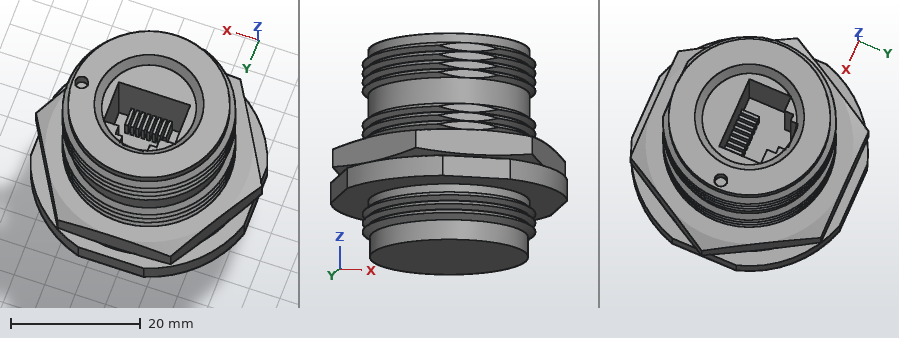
import cadquery as cq
import math

TOTAL_HEIGHT = 32.6
SHAFT_RADIUS = 12.5
COLLAR_RADIUS = 12.22
COLLAR_HEIGHT = 3.1

CREST_RADIUS = 13.37
RIDGE_HALF_HEIGHT = 0.65
THREAD_PITCH = 1.4
LOWER_RIDGE_COUNT = 3
UPPER_RIDGE_COUNT = 4
TOP_THREAD_CREST = 26.25
RIDGE_OVERLAP = 0.37
RIDGE_SLOPE = RIDGE_HALF_HEIGHT / (CREST_RADIUS - SHAFT_RADIUS)
RIDGE_BASE_HALF_HEIGHT = RIDGE_SLOPE * (CREST_RADIUS - COLLAR_RADIUS)
LOWER_THREAD_CREST = COLLAR_HEIGHT + RIDGE_BASE_HALF_HEIGHT

FLANGE_ACROSS_FLATS = 35.0
FLANGE_FLAT_LENGTH = 10.75
FLANGE_BOTTOM = 8.75
FLANGE_THICKNESS = 3.2
FLANGE_TOP = FLANGE_BOTTOM + FLANGE_THICKNESS
FLANGE_RADIUS = math.hypot(FLANGE_ACROSS_FLATS / 2, FLANGE_FLAT_LENGTH / 2)
SEAT_RADIUS = 15.95
SEAT_HEIGHT = 0.55
SEAT_TOP = FLANGE_TOP + SEAT_HEIGHT

MOUTH_RADIUS = 8.45
FACE_RADIUS = 7.3
MOUTH_DEPTH = 1.3
FACE_Z = TOTAL_HEIGHT - MOUTH_DEPTH

SOCKET_HALF_WIDTH = 5.85
SOCKET_BOTTOM_Y = -2.55
SOCKET_SHOULDER_Y = 4.45
STEP_HALF_WIDTH = 3.37
STEP_Y = 5.93
LATCH_HALF_WIDTH = 2.25
SOCKET_DEPTH = 11.1
SOCKET_FLOOR = FACE_Z - SOCKET_DEPTH

CONTACT_COUNT = 8
CONTACT_PITCH = 0.9
CONTACT_ROW_X = CONTACT_PITCH / 2
CONTACT_WIDTH = 0.52
CONTACT_LENGTH = 2.93
CONTACT_HEIGHT = 2.95

MARKER_RADIUS = 1.0
MARKER_X = 11.05
MARKER_DEPTH = 2 * MARKER_RADIUS

NUT_ACROSS_CORNERS = 37.05
NUT_CORNER_RADIUS = NUT_ACROSS_CORNERS / 2
NUT_HALF_FLATS = NUT_CORNER_RADIUS * math.cos(math.pi / 6)
NUT_THICKNESS = 3.95
NUT_GAP = 0.2
NUT_BORE_RADIUS = 12.85
NUT_CHAMFER_HEIGHT = 0.6
NUT_BOTTOM = SEAT_TOP + NUT_GAP
NUT_TOP = NUT_BOTTOM + NUT_THICKNESS

MIDDLE_THREAD_CREST = NUT_TOP


def disc(radius, bottom, top):
    return cq.Workplane("XY").workplane(offset=bottom).circle(radius).extrude(top - bottom)


def turned(profile):
    """Revolve a closed (radius, height) outline around Z."""
    return cq.Workplane("XZ").polyline(profile).close().revolve(360, (0, 0), (0, 1))


def ridge(crest):
    """A ring of triangular section that reaches inward to the collar radius."""
    return turned([
        (COLLAR_RADIUS - RIDGE_OVERLAP, crest - RIDGE_BASE_HALF_HEIGHT),
        (COLLAR_RADIUS, crest - RIDGE_BASE_HALF_HEIGHT),
        (CREST_RADIUS, crest),
        (COLLAR_RADIUS, crest + RIDGE_BASE_HALF_HEIGHT),
        (COLLAR_RADIUS - RIDGE_OVERLAP, crest + RIDGE_BASE_HALF_HEIGHT),
    ])


def add_thread(body, lowest_crest, count):
    for index in range(count):
        body = body.union(ridge(lowest_crest + index * THREAD_PITCH))
    return body


def make_flange():
    square = cq.Workplane("XY").workplane(offset=FLANGE_BOTTOM).rect(FLANGE_ACROSS_FLATS, FLANGE_ACROSS_FLATS)
    plate = disc(FLANGE_RADIUS, FLANGE_BOTTOM, FLANGE_TOP).intersect(square.extrude(FLANGE_THICKNESS))
    seat = disc(SEAT_RADIUS, FLANGE_BOTTOM, SEAT_TOP).faces(">Z").edges().fillet(SEAT_HEIGHT)
    return plate.union(seat)


def make_threaded_shaft():
    """Upper shaft with two threads, flattened on the -Y side down to the shaft."""
    shaft = disc(SHAFT_RADIUS, FLANGE_TOP, TOTAL_HEIGHT)
    shaft = add_thread(shaft, MIDDLE_THREAD_CREST, UPPER_RIDGE_COUNT)
    shaft = add_thread(shaft, TOP_THREAD_CREST, UPPER_RIDGE_COUNT)
    kept = cq.Workplane("XY").box(
        2 * CREST_RADIUS, SHAFT_RADIUS + CREST_RADIUS, TOTAL_HEIGHT, centered=(True, False, False)
    )
    return shaft.intersect(kept.translate((0, -SHAFT_RADIUS, 0)))


def make_tail():
    """Lower end: plain collar, thread and the shaft up to the flange."""
    tail = disc(COLLAR_RADIUS, 0, FLANGE_BOTTOM)
    tail = tail.union(disc(SHAFT_RADIUS, LOWER_THREAD_CREST, FLANGE_BOTTOM))
    return add_thread(tail, LOWER_THREAD_CREST, LOWER_RIDGE_COUNT)


def make_mouth():
    return turned([(0, FACE_Z), (FACE_RADIUS, FACE_Z), (MOUTH_RADIUS, TOTAL_HEIGHT), (0, TOTAL_HEIGHT)])


def make_socket():
    """Plug-shaped pocket, with the contacts left standing in it."""
    right_side = [
        (SOCKET_HALF_WIDTH, SOCKET_BOTTOM_Y),
        (SOCKET_HALF_WIDTH, SOCKET_SHOULDER_Y),
        (STEP_HALF_WIDTH, SOCKET_SHOULDER_Y),
        (STEP_HALF_WIDTH, STEP_Y),
        (LATCH_HALF_WIDTH, STEP_Y),
        (LATCH_HALF_WIDTH, FACE_RADIUS),
    ]
    left_side = [(-x, y) for x, y in reversed(right_side)]
    floor_plane = cq.Workplane("XY").workplane(offset=SOCKET_FLOOR)
    pocket = floor_plane.polyline(right_side + left_side).close().extrude(SOCKET_DEPTH)
    contacts = (
        floor_plane.center(CONTACT_ROW_X, SOCKET_BOTTOM_Y + CONTACT_LENGTH / 2)
        .rarray(CONTACT_PITCH, 0.37, CONTACT_COUNT, 1)
        .rect(CONTACT_WIDTH, CONTACT_LENGTH)
        .extrude(CONTACT_HEIGHT)
    )
    return pocket.cut(contacts)


def make_housing():
    body = make_tail().union(make_flange()).union(make_threaded_shaft())
    marker_hole = disc(MARKER_RADIUS, TOTAL_HEIGHT - MARKER_DEPTH, TOTAL_HEIGHT).translate((MARKER_X, 0, 0))
    return body.cut(make_mouth()).cut(make_socket()).cut(marker_hole)


def make_nut(housing):
    """Hexagonal nut with corners along X, cleared where the housing thread enters it."""
    hexagon = cq.Workplane("XY").workplane(offset=NUT_BOTTOM).polygon(6, NUT_ACROSS_CORNERS)
    corner_cones = turned([
        (0, NUT_BOTTOM),
        (NUT_HALF_FLATS, NUT_BOTTOM),
        (NUT_CORNER_RADIUS, NUT_BOTTOM + NUT_CHAMFER_HEIGHT),
        (NUT_CORNER_RADIUS, NUT_TOP - NUT_CHAMFER_HEIGHT),
        (NUT_HALF_FLATS, NUT_TOP),
        (0, NUT_TOP),
    ])
    blank = hexagon.extrude(NUT_THICKNESS).intersect(corner_cones)
    return blank.cut(disc(NUT_BORE_RADIUS, NUT_BOTTOM, NUT_TOP)).cut(housing)


housing = make_housing()
nut = make_nut(housing)

result = cq.Compound.makeCompound([*housing.solids().vals(), *nut.solids().vals()])